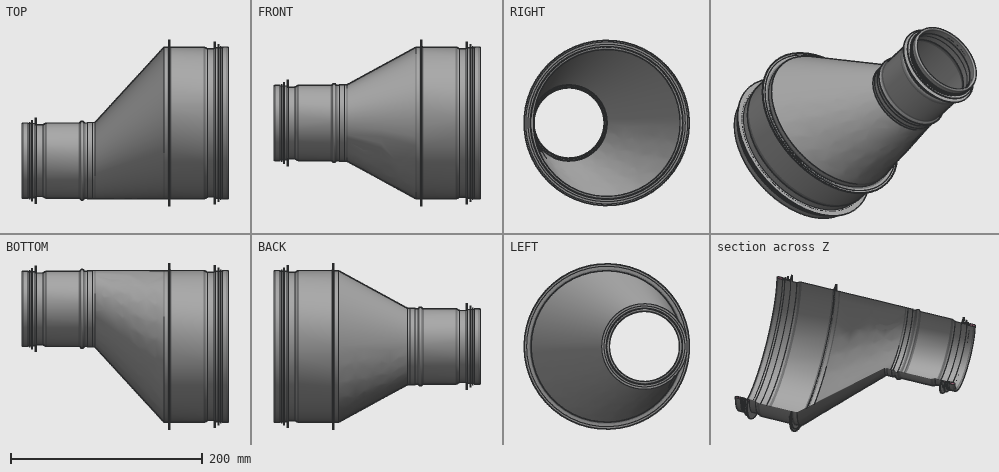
import cadquery as cq
import math


total_length = 216.2
sheet = 0.55

small_pipe_od = 79.1
large_pipe_od = 159.1
small_nose_bore = 72.9
large_nose_bore = 153.3
small_pipe_length = 73.7
groove_floor_step = 3.7
groove_bore_step = 5.0

groove_start = 6.3
nose_bore_end = 8.9
gasket_end = 15.1
ramp_start = 21.8
ramp_end = 25.3
ramp_bend_reach = 0.6

gasket_base_step = 1.3
gasket_lips = [
    (8.0, 8.6, 1.0),
    (10.2, 11.2, 5.5),
    (13.8, gasket_end, 10.4),
]

bead_x = 63.0
bead_half_width = 2.92
bead_height = 2.0
bead_root_radius = 1.0
bead_radii_sum = (bead_half_width**2 + bead_height**2) / (2 * bead_height)
bead_crown_radius = bead_radii_sum - bead_root_radius

sleeve_start = 68.5
cone_start = 76.3
cone_end = 148.5
sleeve_od = small_pipe_od + 2 * sheet
collar_od = 159.0
collar_bore = collar_od - 2 * sheet
small_axis_y = -(collar_od - sleeve_od) / 2

seam_od = 173.5
seam_lip_bore = 167.8
seam_root_radius = 0.9
seam_start = 153.3
cone_flange_start = seam_start + sheet
pipe_flange_start = cone_flange_start + sheet
seam_end = pipe_flange_start + sheet
cone_flange_od = seam_od - 2 * sheet


def revolve_about_x(outline):
    return outline.close().revolve(360, (0, 0, 0), (1, 0, 0))


def ring(start, end, inner_d, outer_d):
    """Plain ring around the X axis."""
    return revolve_about_x(
        cq.Workplane("XY")
        .moveTo(start, inner_d / 2)
        .lineTo(end, inner_d / 2)
        .lineTo(end, outer_d / 2)
        .lineTo(start, outer_d / 2)
    )


def ramp_bend_start(low_r, high_r):
    """Point on the groove ramp where the bend into the full pipe radius begins."""
    run = ramp_end - ramp_start
    rise = high_r - low_r
    share = ramp_bend_reach / math.hypot(run, rise)
    return (ramp_end - share * run, high_r - share * rise)


def pipe(outer_d, nose_bore_d, length):
    """Pipe with its rounded open end at X = 0 and its plain end at X = length."""
    outer_r = outer_d / 2
    bore_r = outer_r - sheet
    floor_r = outer_r - groove_floor_step / 2
    groove_bore_r = outer_r - groove_bore_step / 2
    nose_bore_r = nose_bore_d / 2
    nose_radius = (outer_r - nose_bore_r) / 2
    bend_end = ramp_end + ramp_bend_reach
    return revolve_about_x(
        cq.Workplane("XY")
        .moveTo(nose_radius, nose_bore_r)
        .threePointArc((0, nose_bore_r + nose_radius), (nose_radius, outer_r))
        .lineTo(groove_start, outer_r)
        .lineTo(groove_start, floor_r)
        .lineTo(ramp_start, floor_r)
        .lineTo(*ramp_bend_start(floor_r, outer_r))
        .tangentArcPoint((bend_end, outer_r), relative=False)
        .lineTo(length, outer_r)
        .lineTo(length, bore_r)
        .lineTo(bend_end, bore_r)
        .tangentArcPoint(ramp_bend_start(groove_bore_r, bore_r), relative=False)
        .lineTo(ramp_start, groove_bore_r)
        .lineTo(nose_bore_end, groove_bore_r)
        .lineTo(nose_bore_end, nose_bore_r)
    )


def bead_bulge(base_r, root_radius, crown_radius):
    """Solid ring with a rounded crown that blends into the base radius on both sides."""
    blend_angle = math.asin(bead_half_width / (root_radius + crown_radius))

    def root_point(side, angle):
        x = bead_x + side * (bead_half_width - root_radius * math.sin(angle))
        return (x, base_r + root_radius * (1 - math.cos(angle)))

    return revolve_about_x(
        cq.Workplane("XY")
        .moveTo(*root_point(-1, 0))
        .threePointArc(root_point(-1, blend_angle / 2), root_point(-1, blend_angle))
        .threePointArc((bead_x, base_r + bead_height), root_point(1, blend_angle))
        .threePointArc(root_point(1, blend_angle / 2), root_point(1, 0))
        .lineTo(bead_x + bead_half_width, base_r - sheet)
        .lineTo(bead_x - bead_half_width, base_r - sheet)
    )


def gasket(pipe_od):
    """Gasket seated in the groove of a pipe that opens at X = 0."""
    floor_d = pipe_od - groove_floor_step
    body = ring(groove_start, gasket_end, floor_d, pipe_od - gasket_base_step)
    for start, end, step in gasket_lips:
        body = body.union(ring(start, end, floor_d, pipe_od + step))
    return body


def flange(side, neck_od, neck_bore, rim_od):
    """Flange with a rounded root, on the -X (-1) or +X (1) side of the plane where flanges meet."""
    back_x = pipe_flange_start + side * sheet
    root_x = back_x + side * seam_root_radius
    return revolve_about_x(
        cq.Workplane("XY")
        .moveTo(pipe_flange_start, neck_bore / 2)
        .lineTo(pipe_flange_start, rim_od / 2)
        .lineTo(back_x, rim_od / 2)
        .lineTo(back_x, neck_od / 2 + seam_root_radius)
        .tangentArcPoint((root_x, neck_od / 2), relative=False)
        .lineTo(root_x, neck_bore / 2)
    )


def frustum(small_d, large_d):
    """Oblique cone from a circle on the small pipe axis to one on the large pipe axis."""
    return (
        cq.Workplane("YZ", origin=(cone_start, 0, 0))
        .center(small_axis_y, 0)
        .circle(small_d / 2)
        .workplane(offset=cone_end - cone_start)
        .center(-small_axis_y, 0)
        .circle(large_d / 2)
        .loft(ruled=True)
    )


def at_small_end(body):
    return body.translate((0, small_axis_y, 0))


def at_large_end(body):
    return body.mirror("YZ").translate((total_length, 0, 0))


def make_small_pipe():
    """Small pipe with a hollow bead of even sheet thickness."""
    outer_r = small_pipe_od / 2
    bead_outside = bead_bulge(outer_r, bead_root_radius, bead_crown_radius)
    bead_inside = bead_bulge(outer_r - sheet, bead_root_radius + sheet, bead_crown_radius - sheet)
    tube = pipe(small_pipe_od, small_nose_bore, small_pipe_length)
    return at_small_end(tube.union(bead_outside).cut(bead_inside))


def make_cone():
    """Sleeve over the small pipe, oblique shell, collar, and flange held in the seam."""
    sleeve = at_small_end(ring(sleeve_start, cone_start, small_pipe_od, sleeve_od))
    shell = frustum(sleeve_od, collar_od).cut(frustum(small_pipe_od, collar_bore))
    collar = ring(cone_end, pipe_flange_start, collar_bore, collar_od)
    cone_flange = flange(-1, collar_od, collar_bore, cone_flange_od)
    return shell.union(sleeve).union(collar).union(cone_flange)


def make_large_pipe():
    """Large pipe whose flange is folded around the rim of the cone flange."""
    tube = at_large_end(pipe(large_pipe_od, large_nose_bore, total_length - pipe_flange_start))
    pipe_flange = flange(1, large_pipe_od, large_pipe_od - 2 * sheet, seam_od)
    fold = ring(seam_start, seam_end, cone_flange_od, seam_od)
    lip = ring(seam_start, cone_flange_start, seam_lip_bore, seam_od)
    return tube.union(pipe_flange).union(fold).union(lip)


small_pipe = make_small_pipe()
cone = make_cone()
large_pipe = make_large_pipe()
small_gasket = at_small_end(gasket(small_pipe_od))
large_gasket = at_large_end(gasket(large_pipe_od))

bodies = [small_pipe, cone, large_pipe, small_gasket, large_gasket]
result = cq.Compound.makeCompound([body.solids().val() for body in bodies])